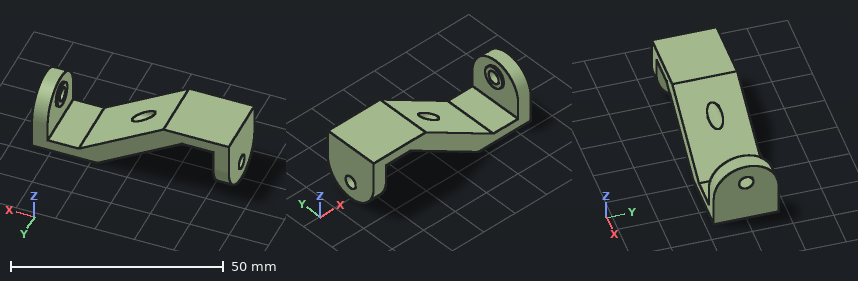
import cadquery as cq

length = 50.0
width = 16.0
height = 16.0

strap_thickness = 3.0
tab_thickness = 4.0
outer_flat_length = 16.6
inner_flat_length = 11.9

hole_diameter = 3.5
boss_diameter = 6.0
boss_height = 0.5
hole_edge_distance = 5.0

tab_radius = width / 2
low_hole_z = hole_edge_distance
high_hole_z = height - hole_edge_distance
right_tab_face = length - tab_thickness


def rod_along_x(diameter, start_x, end_x, z):
    """Cylinder parallel to X, centred across the width."""
    return (
        cq.Workplane("YZ", origin=(start_x, 0, z))
        .circle(diameter / 2)
        .extrude(end_x - start_x)
    )


def strap():
    """Sloping web between two flats, without the end tabs."""
    outline = [
        (0, height),
        (outer_flat_length, height),
        (length - inner_flat_length, strap_thickness),
        (length, strap_thickness),
        (length, 0),
        (length - outer_flat_length, 0),
        (inner_flat_length, height - strap_thickness),
        (0, height - strap_thickness),
    ]
    return (
        cq.Workplane("XZ", origin=(0, width / 2, 0))
        .polyline(outline)
        .close()
        .extrude(width)
    )


def tab(start_x, square_end_z):
    """End tab: square at one end and fully rounded at the other."""
    square_half = cq.Workplane("XY").box(
        tab_thickness, width, height - tab_radius, centered=(False, True, True)
    ).translate((start_x, 0, (square_end_z + height / 2) / 2))
    round_half = rod_along_x(width, start_x, start_x + tab_thickness, height / 2)
    return square_half.union(round_half)


body = strap().union(tab(0, height)).union(tab(right_tab_face, 0))

body = body.union(rod_along_x(boss_diameter, right_tab_face - boss_height, length, high_hole_z))

body = body.cut(rod_along_x(hole_diameter, 0, tab_thickness, low_hole_z))

result = body.cut(rod_along_x(hole_diameter, inner_flat_length, length, high_hole_z))